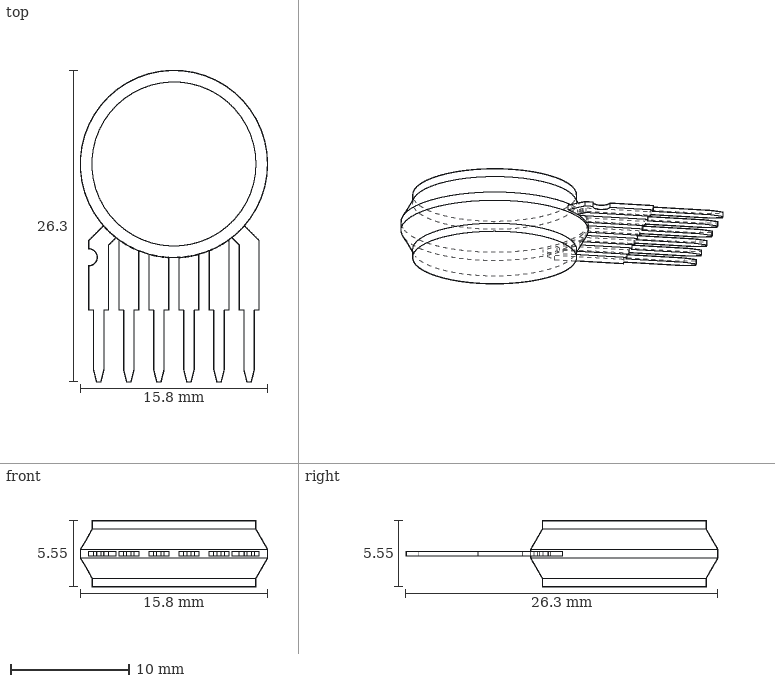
import cadquery as cq

rim_radius = 15.82 / 2
face_radius = 13.85 / 2
end_height = 0.7
cone_height = 1.7
rim_height = 0.75
rim_half = rim_height / 2
cone_top = rim_half + cone_height
housing_top = cone_top + end_height

overall_length = 26.33
lead_count = 6
row_span = 12.7
lead_pitch = row_span / (lead_count - 1)
lead_thickness = 0.4
shank_half = 1.69 / 2
pin_half = 0.9 / 2
tip_half = 0.37 / 2
pin_length = 6.08
taper_length = 1.05

tip_y = rim_radius - overall_length
taper_y = tip_y + taper_length
shoulder_y = tip_y + pin_length

bend_outer_y = -6.45
bend_inner_y = -6.85
arm_run = 2.63

notch_radius = 0.7
notch_y = -7.87


def make_housing():
    """Revolve the stepped, double-coned profile about Z."""
    profile = [
        (0, -housing_top),
        (face_radius, -housing_top),
        (face_radius, -cone_top),
        (rim_radius, -rim_half),
        (rim_radius, rim_half),
        (face_radius, cone_top),
        (face_radius, housing_top),
        (0, housing_top),
    ]
    return cq.Workplane("XZ").polyline(profile).close().revolve(360, (0, 0), (0, 1))


def rim_cylinder():
    """Solid disc of the rim's size, used to trim the leads flush to the rim."""
    return cq.Workplane("XY").circle(rim_radius).extrude(rim_half, both=True)


def make_lead(x, head):
    """Make one lead: pointed pin, wider shank, and the given head points, right to left."""
    outline = [
        (-shank_half, shoulder_y),
        (-pin_half, shoulder_y),
        (-pin_half, taper_y),
        (-tip_half, tip_y),
        (tip_half, tip_y),
        (pin_half, taper_y),
        (pin_half, shoulder_y),
        (shank_half, shoulder_y),
    ] + head
    blank = cq.Workplane("XY").polyline(outline).close().extrude(lead_thickness / 2, both=True)
    return blank.translate((x, 0, 0)).cut(rim_cylinder())


def make_straight_lead(x):
    """Make a lead whose shank runs straight into the rim."""
    return make_lead(x, [(shank_half, 0), (-shank_half, 0)])


def make_bent_lead(x):
    """Make the lead at the -X end, with its arm bent toward the housing."""
    head = [
        (shank_half, bend_inner_y),
        (shank_half + arm_run, bend_inner_y + arm_run),
        (-shank_half + arm_run, bend_outer_y + arm_run),
        (-shank_half, bend_outer_y),
    ]
    return make_lead(x, head)


def cut_notch(lead, x):
    """Cut the half-round notch in the lead's -X edge."""
    cutter = (
        cq.Workplane("XY")
        .center(x - shank_half, notch_y)
        .circle(notch_radius)
        .extrude(lead_thickness, both=True)
    )
    return lead.cut(cutter)


housing = make_housing()

first_x = -row_span / 2
bent_lead = make_bent_lead(first_x)
notched_lead = cut_notch(bent_lead, first_x)
mirrored_lead = bent_lead.mirror("YZ")
straight_leads = [
    make_straight_lead(first_x + index * lead_pitch) for index in range(1, lead_count - 1)
]

leads = [notched_lead, *straight_leads, mirrored_lead]
result = cq.Compound.makeCompound([housing.val(), *[lead.val() for lead in leads]])